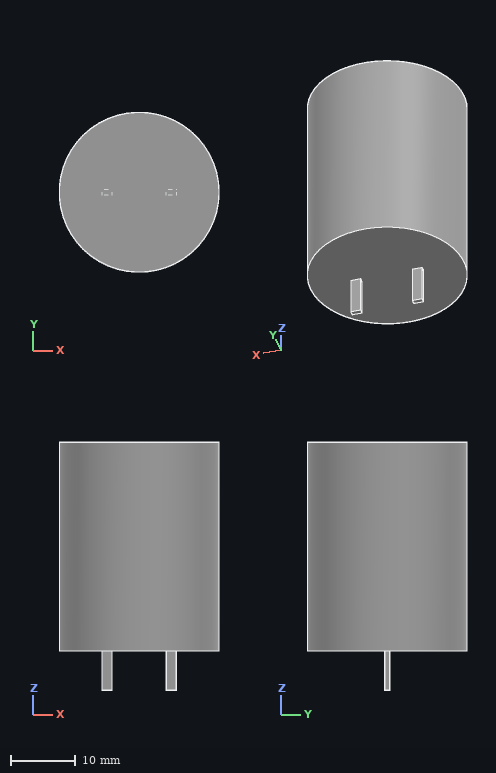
import cadquery as cq

body_diameter = 24.89
overall_height = 38.61
pin_length = 6.1
body_height = overall_height - pin_length

pin_width = 1.6
pin_thickness = 0.8
pin_spacing = 10.0


def make_body():
    """Plain can standing on the Z = 0 plane."""
    return cq.Workplane("XY").circle(body_diameter / 2).extrude(body_height)


def make_pin(x_center):
    """Flat rectangular pin hanging from the underside of the can."""
    return (
        cq.Workplane("XY")
        .center(x_center, 0)
        .rect(pin_width, pin_thickness)
        .extrude(-pin_length)
    )


result = make_body()
for side in (-1, 1):
    result = result.union(make_pin(side * pin_spacing / 2))